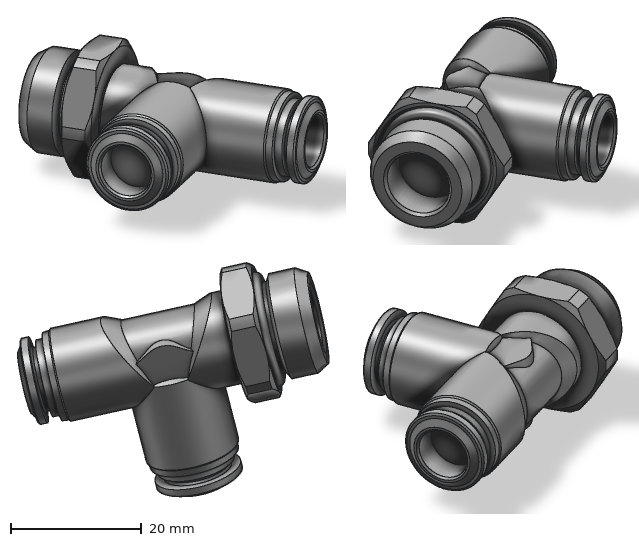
import cadquery as cq
import math

overall_length = 46.2
port_reach = 22.4
tee_x = overall_length - port_reach

thread_radius = 8.27
neck_radius = 7.2
lead_chamfer_length = 1.8
thread_end_x = 5.9
neck_start_x = 6.5
seal_start_x = 7.1
seal_radius = 8.97
hex_start_x = 8.1
seal_rounding = hex_start_x - seal_start_x
hex_end_x = 13.1
hex_across_flats = 20.0
hex_corner_radius = 11.03
hex_chamfer_length = 0.6
hex_turn = 1.05
seat_radius = 9.45
seat_depth = 0.5
seal_end_x = hex_start_x + seat_depth
stud_bore_radius = 5.05
stud_bore_mouth_radius = 5.5
stud_bore_depth = 6.0

tube_radius = 7.3
tube_end = 16.7
tube_chamfer = 0.25
relief_radius = 7.0
relief_length = 0.2
relief_chamfer_length = 0.2
waist_radius = 6.2
pad_height = 6.4
mitre = 2.62
waist_outer_x = 8.75
waist_inner_x = 5.8
clearance_margin = 1.0
arch_clearance = 0.1
pad_shoulder = (4.5, 1.56)
pad_apex_y = 4.2
pad_apex_rounding = 4.0
pad_draft = 12.0
pad_step_slope = 1.7

shoulder_radius = 7.05
shoulder_end_radius = 6.95
shoulder_end = 18.0
sleeve_radius = 6.05
sleeve_end = 19.25
collar_neck_radius = 5.0
collar_start = 20.3
collar_radius = 6.77
collar_root_chamfer = 0.35
collar_rim_length = 0.24
collar_rim_radius = 6.44
collar_end = 21.64
collar_nose_radius = 5.94
collar_face_radius = 4.83
port_bore_radius = 4.1
port_mouth_radius = 4.42
port_mouth_chamfer = 0.35
port_bore_depth = 4.3


def revolve_about_x(points):
    """Solid of revolution about X from (x, radius) points that start and end on the axis."""
    return cq.Workplane("XY").polyline(points).close().revolve(360, (0, 0, 0), (1, 0, 0))


def make_bore(radius, mouth_radius, mouth_chamfer, depth):
    """Blind bore from X = 0 towards +X with a chamfered mouth."""
    return revolve_about_x(
        [(0, 0), (0, mouth_radius), (mouth_chamfer, radius), (depth, radius), (depth, 0)]
    )


def make_hexagon():
    """Hexagon with chamfered faces, turned-down corners and a flared seat for the seal ring."""
    flat_radius = hex_across_flats / 2
    hexagon = (
        cq.Workplane("YZ", origin=(hex_start_x, 0, 0))
        .polygon(6, hex_across_flats / math.cos(math.pi / 6))
        .extrude(hex_end_x - hex_start_x)
        .rotate((0, 0, 0), (1, 0, 0), hex_turn)
    )
    turned = revolve_about_x(
        [
            (hex_start_x, 0),
            (hex_start_x, flat_radius),
            (hex_start_x + hex_chamfer_length, hex_corner_radius),
            (hex_end_x - hex_chamfer_length, hex_corner_radius),
            (hex_end_x, flat_radius),
            (hex_end_x, 0),
        ]
    )
    seat = revolve_about_x(
        [
            (hex_start_x, 0),
            (hex_start_x, seat_radius),
            (seal_end_x, seal_radius),
            (seal_end_x, 0),
        ]
    )
    return hexagon.intersect(turned).cut(seat)


def make_stud():
    """Bored thread, neck, seal ring and hexagon in one piece."""
    thread = revolve_about_x(
        [
            (0, 0),
            (0, neck_radius),
            (lead_chamfer_length, thread_radius),
            (thread_end_x, thread_radius),
            (neck_start_x, neck_radius),
            (seal_end_x, neck_radius),
            (seal_end_x, 0),
        ]
    )
    seal = (
        cq.Workplane("YZ", origin=(seal_start_x, 0, 0))
        .circle(seal_radius)
        .extrude(seal_end_x - seal_start_x)
        .faces("<X")
        .edges()
        .fillet(seal_rounding)
    )
    mouth_chamfer = stud_bore_mouth_radius - stud_bore_radius
    bore = make_bore(stud_bore_radius, stud_bore_mouth_radius, mouth_chamfer, stud_bore_depth)
    return thread.union(seal).union(make_hexagon()).cut(bore)


def make_port():
    """Half tube with its stepped sleeve, collar and bore, pointing along +X."""
    outside = revolve_about_x(
        [
            (0, 0),
            (0, tube_radius),
            (tube_end, tube_radius),
            (tube_end + tube_chamfer, shoulder_radius),
            (shoulder_end, shoulder_end_radius),
            (shoulder_end, sleeve_radius),
            (sleeve_end, sleeve_radius),
            (sleeve_end, collar_neck_radius),
            (collar_start - collar_root_chamfer, collar_neck_radius),
            (collar_start, collar_neck_radius + collar_root_chamfer),
            (collar_start, collar_radius),
            (collar_end - collar_rim_length, collar_radius),
            (collar_end, collar_rim_radius),
            (collar_end, collar_nose_radius),
            (port_reach, collar_face_radius),
            (port_reach, 0),
        ]
    )
    bore = make_bore(port_bore_radius, port_mouth_radius, port_mouth_chamfer, port_bore_depth)
    bore = bore.rotate((0, 0, 0), (0, 0, 1), 180).translate((port_reach, 0, 0))
    return outside.cut(bore)


def make_stud_side_tube():
    """Half tube from the tee centre back to the hexagon, relieved where they touch."""
    start = hex_end_x - tee_x
    chamfer_start = start + relief_length
    chamfer_end = chamfer_start + relief_chamfer_length
    return revolve_about_x(
        [
            (start, 0),
            (start, relief_radius),
            (chamfer_start, relief_radius),
            (chamfer_end, tube_radius),
            (0, tube_radius),
            (0, 0),
        ]
    )


def make_waist_clearance():
    """Wedge behind the branch, inside which the full-size tubes are removed."""
    slope = (waist_outer_x - mitre) / (tube_radius + mitre)
    back_y = tube_radius + clearance_margin
    back_x = mitre + slope * (back_y + mitre)
    outline = [(-mitre, -mitre), (mitre, -mitre), (back_x, back_y), (-back_x, back_y)]
    return (
        cq.Workplane("XY", origin=(0, 0, -back_y)).polyline(outline).close().extrude(2 * back_y)
    )


def make_arch(radius, back_x):
    """Elliptical section of a run cylinder, on the slant from the mitre corner to (back_x, radius)."""
    slope = (back_x - mitre) / (radius + mitre)
    end_angle = math.degrees(math.acos((arch_clearance - mitre) / radius))
    arch = cq.Edge.makeEllipse(
        radius * math.hypot(1, slope),
        radius,
        cq.Vector(mitre + slope * mitre, 0, 0),
        cq.Vector(1, -slope, 0),
        cq.Vector(slope, 1, 0),
        -end_angle,
        end_angle,
    )
    chord = cq.Edge.makeLine(arch.endPoint(), arch.startPoint())
    return cq.Wire.assembleEdges([arch, chord])


def make_waist_transition():
    """Sloping shoulder between the waist and the full-size tube on the +X side."""
    sections = [make_arch(tube_radius, waist_outer_x), make_arch(waist_radius, waist_inner_x)]
    return cq.Workplane(cq.Solid.makeLoft(sections, True))


def make_pad():
    """Flat raised pad above the tee centre with drafted sides and a rounded back."""
    shoulder_x, shoulder_y = pad_shoulder
    apex_half_angle = math.atan2(pad_apex_y - shoulder_y, shoulder_x)
    tangent_x = pad_apex_rounding * math.sin(apex_half_angle)
    tangent_y = pad_apex_y - tangent_x * math.tan(apex_half_angle)
    arc_top = pad_apex_y - pad_apex_rounding * (1 / math.cos(apex_half_angle) - 1)
    return (
        cq.Workplane("XY", origin=(0, 0, pad_height))
        .moveTo(-mitre, -mitre)
        .lineTo(mitre, -mitre)
        .lineTo(shoulder_x, shoulder_y)
        .lineTo(tangent_x, tangent_y)
        .threePointArc((0, arc_top), (-tangent_x, tangent_y))
        .lineTo(-shoulder_x, shoulder_y)
        .close()
        .extrude(-pad_height / 2, taper=-pad_draft)
    )


def make_branch_step():
    """Cone on the branch axis that lets the branch fall to the pads."""
    length = (tube_radius - waist_radius) / pad_step_slope
    end_y = length - mitre
    return (
        cq.Workplane("XY")
        .polyline([(0, -mitre), (tube_radius, -mitre), (waist_radius, end_y), (0, end_y)])
        .close()
        .revolve(360, (0, 0, 0), (0, 1, 0))
    )


def make_tee():
    """Run and branch tubes with their ports, the waist behind the branch and its two pads."""
    port = make_port()
    branch = port.rotate((0, 0, 0), (0, 0, 1), -90)
    clearance = make_waist_clearance()
    tubes = port.union(make_stud_side_tube()).union(branch).cut(clearance)

    waist = cq.Workplane("YZ").circle(waist_radius).extrude(waist_outer_x, both=True)
    step = make_branch_step().intersect(clearance)
    transition = make_waist_transition()
    pad = make_pad()

    tee = tubes.union(waist).union(step)
    for shoulder in (transition, transition.mirror("YZ")):
        tee = tee.union(shoulder)
    for flat in (pad, pad.mirror("XY")):
        tee = tee.union(flat)
    return tee.translate((tee_x, 0, 0))


stud = make_stud()
tee = make_tee()

result = cq.Compound.makeCompound([*stud.solids().vals(), *tee.solids().vals()])